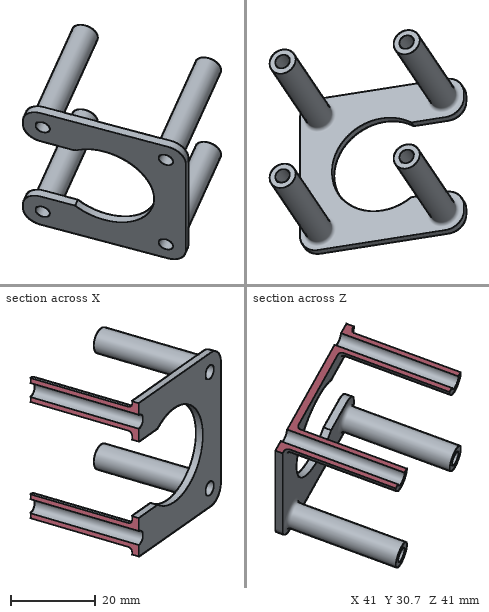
import cadquery as cq

plate_size = 41.0
plate_thickness = 2.0
total_depth = 30.7
corner_radius = 4.5
bore_diameter = 25.0
slot_width = 20.25
post_spacing = 31.0
post_diameter = 6.5
post_hole_diameter = 3.6
post_root_fillet = 1.0

half_size = plate_size / 2
post_positions = [
    (x_side * post_spacing / 2, z_side * post_spacing / 2)
    for x_side in (-1, 1)
    for z_side in (-1, 1)
]


def front_plane(y):
    """XZ sketch plane at depth y facing -Y; negative extrusions run toward +Y."""
    return cq.Workplane(cq.Plane(origin=(0, y, 0), xDir=(1, 0, 0), normal=(0, -1, 0)))


def make_plate():
    """Square plate with a round bore opened to the -X side by a straight slot."""
    plate = front_plane(0).rect(plate_size, plate_size).extrude(-plate_thickness)
    slot = (
        front_plane(0)
        .center(-half_size / 2, 0)
        .rect(half_size, slot_width)
        .extrude(-plate_thickness)
    )
    plate = plate.cut(slot)
    outer_corners = plate.edges("|Y").edges("<X or >X")
    plate = outer_corners.fillet(corner_radius)
    bore = front_plane(0).circle(bore_diameter / 2).extrude(-plate_thickness)
    return plate.cut(bore)


def add_posts(plate):
    """Add the four posts and blend each one into the back of the plate."""
    post_length = total_depth - plate_thickness
    posts = (
        front_plane(plate_thickness)
        .pushPoints(post_positions)
        .circle(post_diameter / 2)
        .extrude(-post_length)
    )
    body = plate.union(posts)
    root_box = cq.selectors.BoxSelector(
        (-half_size, plate_thickness / 2, -half_size),
        (half_size, plate_thickness * 3 / 2, half_size),
    )
    return body.edges(root_box).edges("%CIRCLE").edges(
        cq.selectors.RadiusNthSelector(0)
    ).fillet(post_root_fillet)


def drill_posts(body):
    """Drill each post through its full length, plate included."""
    holes = (
        front_plane(0)
        .pushPoints(post_positions)
        .circle(post_hole_diameter / 2)
        .extrude(-total_depth)
    )
    return body.cut(holes)


result = drill_posts(add_posts(make_plate()))